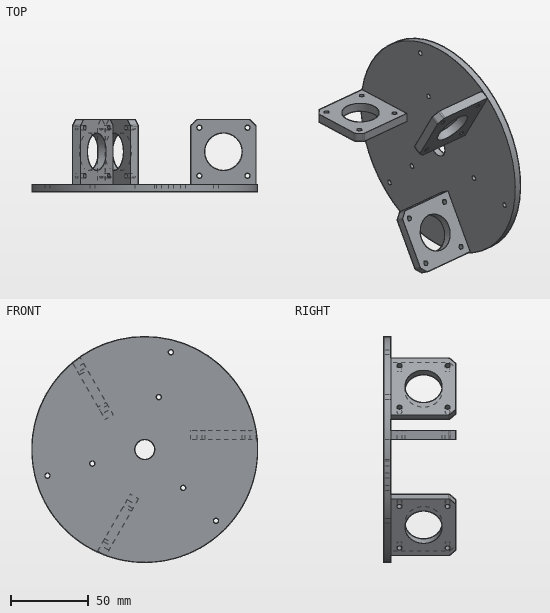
import cadquery as cq
import math

disc_diameter = 145.83
disc_thickness = 4.76
centre_bore_diameter = 12.7

station_count = 3
station_pitch = 360 / station_count

disc_hole_diameter = 3.175
disc_hole_radii = (35.0, 65.0)
disc_hole_start_angle = 75.0

plate_width = 42.3
plate_height = 42.0
plate_thickness = 6.0
plate_radial_centre = 50.75
plate_offset = 9.4
corner_cut = 4.15
corner_blend_radius = 1.5
motor_axis_height = 21.08
motor_bore_diameter = 24.0
motor_screw_spacing = 31.04
motor_screw_diameter = 3.1


def axis_cylinder(diameter, length, x=0.0, z=0.0):
    """Cylinder along +Y starting on the outer face of the disc."""
    return cq.Workplane(cq.Solid.makeCylinder(diameter / 2, length, cq.Vector(x, 0, z), cq.Vector(0, 1, 0)))


def turn_to_station(body, station):
    """Rotate a body about the disc axis to the given station (X towards Z)."""
    return body.rotate((0, 0, 0), (0, -1, 0), station * station_pitch)


def make_disc():
    disc = axis_cylinder(disc_diameter, disc_thickness)
    disc = disc.cut(axis_cylinder(centre_bore_diameter, disc_thickness))
    start_angle = math.radians(disc_hole_start_angle)
    for station in range(station_count):
        for radius in disc_hole_radii:
            x = radius * math.cos(start_angle)
            z = radius * math.sin(start_angle)
            hole = axis_cylinder(disc_hole_diameter, disc_thickness, x, z)
            disc = disc.cut(turn_to_station(hole, station))
    return disc


def make_plate_outline():
    """Plate with both free top corners cut and blended, base on Y = 0, centred on X and Z."""
    plate = (
        cq.Workplane("XY")
        .box(plate_width, plate_height, plate_thickness, centered=(True, False, True))
        .edges("|Z and >Y")
        .chamfer(corner_cut)
    )
    corner_edges = cq.selectors.BoxSelector(
        (-plate_width, plate_height / 2, -plate_thickness),
        (plate_width, plate_height + corner_cut, plate_thickness),
    )
    return plate.edges("|Z").edges(corner_edges).fillet(corner_blend_radius)


def make_motor_plate():
    """Motor plate of the first station, its faces normal to Z."""
    back_face = cq.Workplane("XY", origin=(0, motor_axis_height, -plate_thickness / 2))
    bore = back_face.circle(motor_bore_diameter / 2).extrude(plate_thickness)
    screw_holes = (
        back_face
        .rect(motor_screw_spacing, motor_screw_spacing, forConstruction=True)
        .vertices()
        .circle(motor_screw_diameter / 2)
        .extrude(plate_thickness)
    )
    plate = make_plate_outline().cut(bore).cut(screw_holes)
    return plate.translate((plate_radial_centre, disc_thickness, plate_offset))


result = make_disc()
motor_plate = make_motor_plate()
for station in range(station_count):
    result = result.union(turn_to_station(motor_plate, station))